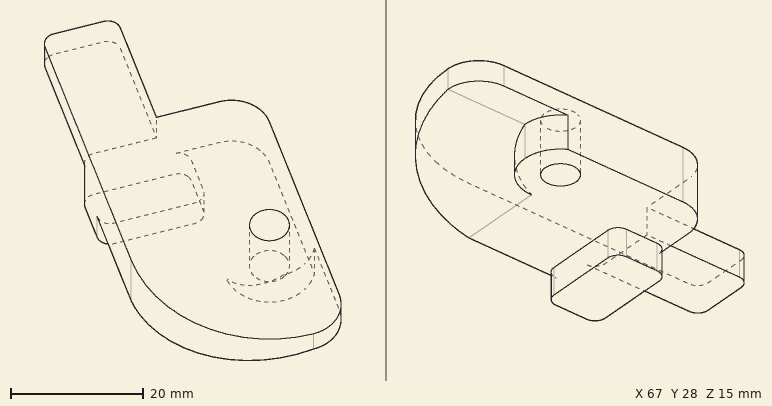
import cadquery as cq

length = 67.0
width = 28.0
layer = 5.0
body_depth = 10.0
total_depth = 15.0

arm_length = 20.0
arm_width = 12.0
small_radius = 2.0
large_radius = 6.0

foot_length = 10.0
foot_width = 16.9

nose_radius = width - large_radius
pivot_x = length - nose_radius
pivot_y = nose_radius
hole_diameter = 6.0
boss_radius = 7.0
ramp_rise = 6.2
clearance = 2.0


def block(x_start, x_end, y_start, y_end, z_low, z_high):
    """Axis-aligned box given by its limits."""
    return cq.Workplane("XY").box(
        x_end - x_start, y_end - y_start, z_high - z_low, centered=False
    ).translate((x_start, y_start, z_low))


def make_arm():
    arm = block(0, pivot_x, 0, arm_width, -layer, 0)
    return arm.edges("|Z and <X").fillet(small_radius)


def make_body():
    """Body with its round nose; the front left corner is rounded below the arm."""
    diagonal = nose_radius * 0.5 ** 0.5
    body = (
        cq.Workplane("XY")
        .moveTo(arm_length, 0)
        .lineTo(pivot_x, 0)
        .threePointArc((pivot_x + diagonal, pivot_y - diagonal), (length, pivot_y))
        .radiusArc((length - large_radius, width), -large_radius)
        .lineTo(arm_length, width)
        .close()
        .extrude(-body_depth)
    )
    body = body.edges("|Z").edges("<X and >Y").fillet(large_radius)
    return body.edges("|Z").edges("<X").edges("<Y").fillet(small_radius)


def make_foot():
    foot = block(
        arm_length, arm_length + foot_length, 0, foot_width, -total_depth, -layer
    )
    return foot.edges("|Z").fillet(small_radius)


def make_ramp_cutter():
    """Space below a helical ramp that climbs a quarter turn around the boss."""
    pitch = 4 * ramp_rise
    inner = cq.Wire.makeHelix(pitch, ramp_rise, boss_radius)
    outer = cq.Wire.makeHelix(pitch, ramp_rise, nose_radius + clearance)
    ramp = cq.Face.makeRuledSurface(inner.Edges()[0], outer.Edges()[0])
    cutter = cq.Solid.extrudeLinear(ramp, cq.Vector(0, 0, -ramp_rise - clearance))
    cutter = cutter.rotate(cq.Vector(0, 0, 0), cq.Vector(0, 0, 1), -90)
    return cq.Workplane(cutter.translate(cq.Vector(pivot_x, pivot_y, -body_depth)))


def make_rear_cutter():
    """Flat relief behind the ramp, level with its upper end, leaving the boss."""
    relief = block(
        pivot_x, length + clearance, pivot_y, width + clearance,
        -body_depth - clearance, -body_depth + ramp_rise,
    )
    boss = (
        cq.Workplane("XY", origin=(pivot_x, pivot_y, -total_depth))
        .circle(boss_radius)
        .extrude(total_depth)
    )
    return relief.cut(boss)


hole = (
    cq.Workplane("XY", origin=(pivot_x, pivot_y, -total_depth))
    .circle(hole_diameter / 2)
    .extrude(total_depth)
)

result = (
    make_body()
    .cut(make_ramp_cutter())
    .cut(make_rear_cutter())
    .union(make_arm())
    .union(make_foot())
    .cut(hole)
)